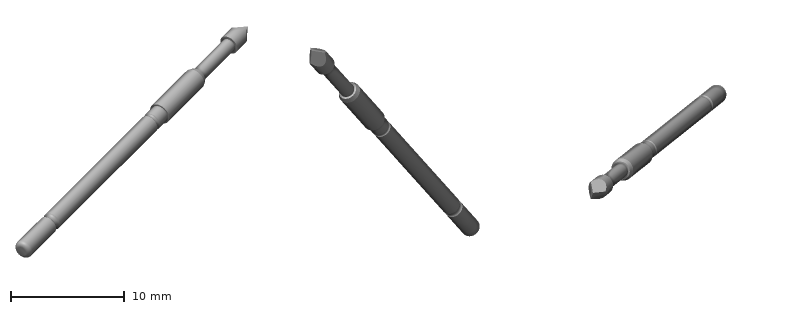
import cadquery as cq
import math

total_length = 36.0
tip_y = total_length / 2

head_diameter = 1.8
plunger_diameter = 1.3
collar_diameter = 2.0
barrel_diameter = 1.7

head_end = 3.0
collar_start = 8.0
collar_end = 14.0

collar_chamfer_length = 0.45
collar_chamfer_depth = 0.18
barrel_end_radius = 0.4

grooves = [(15.45, 0.4, 0.1), (31.5, 0.6, 0.15)]

flat_count = 3
flat_angle = math.radians(30)


def turned_section(diameter, start, end):
    """Cylinder on the Y axis between two distances from the tip."""
    plane = cq.Workplane("XZ", origin=(0, tip_y - start, 0))
    return plane.circle(diameter / 2).extrude(end - start)


def pointed_head():
    """Cylindrical head cut to a pyramid; one flat faces +X."""
    head = turned_section(head_diameter, 0, head_end)
    waste_size = head_diameter
    flat_length = waste_size / math.tan(flat_angle)
    waste = (
        cq.Workplane("XY")
        .polyline([(0, tip_y), (waste_size, tip_y), (waste_size, tip_y - flat_length)])
        .close()
        .extrude(waste_size, both=True)
    )
    for index in range(flat_count):
        angle = index * 360 / flat_count
        head = head.cut(waste.rotate((0, 0, 0), (0, 1, 0), angle))
    return head


def collar():
    """Press ring with a tapered front edge."""
    ring = turned_section(collar_diameter, collar_start, collar_end)
    return ring.faces(">Y").chamfer(collar_chamfer_length, collar_chamfer_depth)


def groove_cutter(center, width, depth):
    """Ring whose inner side is a circular arc, bulging by depth into the barrel."""
    barrel_radius = barrel_diameter / 2
    center_y = tip_y - center
    rear_edge = (barrel_radius, center_y - width / 2)
    deepest_point = (barrel_radius - depth, center_y)
    front_edge = (barrel_radius, center_y + width / 2)
    return (
        cq.Workplane("XY")
        .moveTo(*rear_edge)
        .threePointArc(deepest_point, front_edge)
        .close()
        .revolve(360, (0, 0, 0), (0, 1, 0))
    )


def barrel():
    """Long tube behind the collar with a rounded rear end and two grooves."""
    tube = turned_section(barrel_diameter, collar_end, total_length)
    tube = tube.faces("<Y").edges().fillet(barrel_end_radius)
    for center, width, depth in grooves:
        tube = tube.cut(groove_cutter(center, width, depth))
    return tube


plunger = turned_section(plunger_diameter, head_end, collar_start)
result = pointed_head().union(plunger).union(collar()).union(barrel())